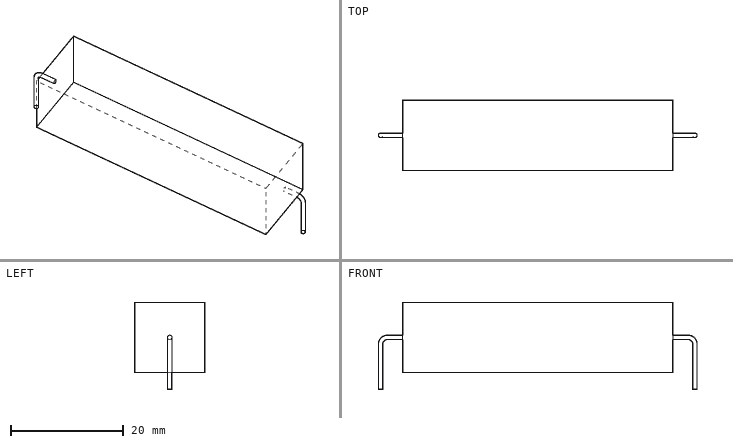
import cadquery as cq

body_length = 48.0
body_width = 12.5
body_height = 12.5

lead_diameter = 0.8
lead_pitch = 55.88
lead_bend_radius = 1.2
lead_drop_below_body = 3.0

lead_axis_z = body_height / 2
lead_x = lead_pitch / 2
body_end_x = body_length / 2


def make_body():
    return cq.Workplane("XY").box(
        body_length, body_width, body_height, centered=(True, True, False)
    )


def make_lead(side):
    """Wire lead on the +X end (side = 1) or the -X end (side = -1)."""
    bend_start_x = side * (lead_x - lead_bend_radius)
    straight_length = lead_x - lead_bend_radius - body_end_x
    leg_length = lead_axis_z - lead_bend_radius + lead_drop_below_body
    lead_radius = lead_diameter / 2

    straight = (
        cq.Workplane("YZ", origin=(side * body_end_x, 0, lead_axis_z))
        .circle(lead_radius)
        .extrude(side * straight_length)
    )
    elbow = (
        cq.Workplane("YZ", origin=(bend_start_x, 0, lead_axis_z))
        .circle(lead_radius)
        .revolve(90, (0, -lead_bend_radius, 0), (side, -lead_bend_radius, 0))
    )
    leg = (
        cq.Workplane("XY", origin=(side * lead_x, 0, -lead_drop_below_body))
        .circle(lead_radius)
        .extrude(leg_length)
    )
    return straight.union(elbow).union(leg)


result = make_body()
for side in (-1, 1):
    result = result.union(make_lead(side))